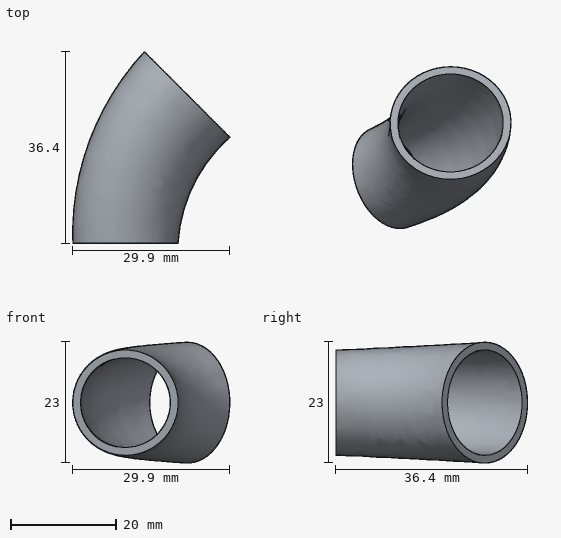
import cadquery as cq
import math

bend_radius = 40.0
bend_angle = 45.0
wall = 1.5
inlet_diameter = 20.0
outlet_diameter = 23.0


def centreline_point(angle):
    """Point on the bend centreline; the inlet centre is the origin."""
    turn = math.radians(angle)
    return (bend_radius * (1 - math.cos(turn)), bend_radius * math.sin(turn), 0)


def end_plane(angle):
    """Plane across the pipe at a bend angle, facing along the centreline."""
    turn = math.radians(angle)
    return cq.Plane(
        origin=centreline_point(angle),
        xDir=(math.cos(turn), -math.sin(turn), 0),
        normal=(math.sin(turn), math.cos(turn), 0),
    )


def tapered_bend(start_diameter, end_diameter):
    """Solid of round section swept from the inlet to the outlet."""
    path = cq.Workplane("XY").moveTo(0, 0).threePointArc(
        centreline_point(bend_angle / 2)[:2],
        centreline_point(bend_angle)[:2],
    )
    inlet = cq.Workplane(end_plane(0)).circle(start_diameter / 2)
    outlet_base = inlet.copyWorkplane(cq.Workplane(end_plane(bend_angle)))
    sections = outlet_base.circle(end_diameter / 2)
    return sections.sweep(path, multisection=True)


outside = tapered_bend(inlet_diameter, outlet_diameter)
bore = tapered_bend(inlet_diameter - 2 * wall, outlet_diameter - 2 * wall)
result = outside.cut(bore)